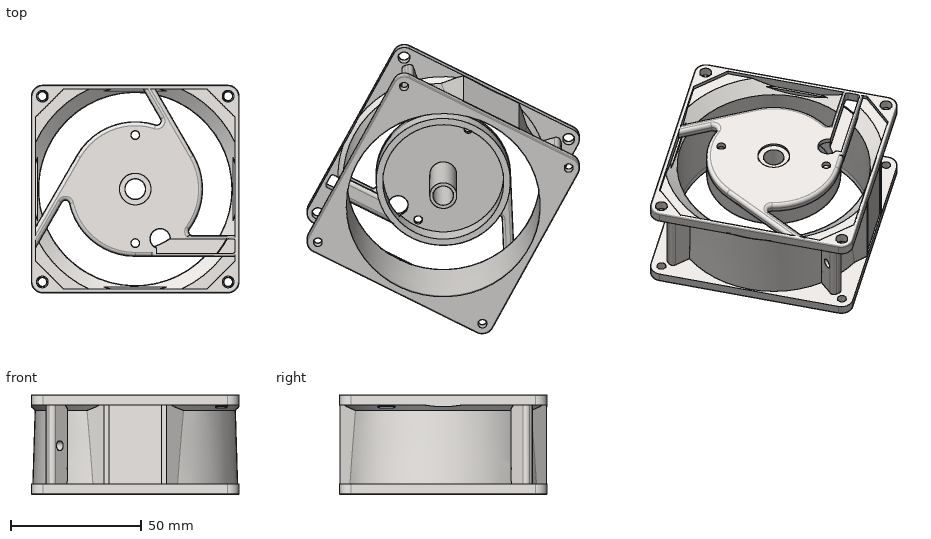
import cadquery as cq
import math

side = 79.9
height = 38.3
flange_thickness = 4.0
corner_radius = 4.5
rim_round = 0.3

half_side = side / 2
upper_flange_bottom = height - flange_thickness

recess_half = 38.45
recess_corner = 27.6
recess_depth = 1.5
recess_floor = height - recess_depth

bore_top_radius = 37.2
bore_bottom_radius = 37.6
lip_radius = 37.25
lip_height = 1.9
flare_radius = 42.35
flare_flat_half = 37.65
flare_start = 32.2
duct_top_radius = 38.5
duct_bottom_radius = 39.4
outer_flare_start = 32.3
outer_flare_radius = duct_top_radius + upper_flange_bottom - outer_flare_start

pad_half_width = 12.1
pad_inset = 0.15
pad_depth = 6.4
pad_spread = 6.9
label_half_width = 10.1
label_depth = 0.4

hole_offset = 35.7
upper_hole_diameter = 4.5
lower_hole_diameter = 3.35
rib_width = 4.6
rib_inner = 39.2
rib_outer = 47.4
rib_round = 1.75
ground_hole_diameter = 3.7
ground_hole_distance = 43.3
ground_hole_height = 18.7
rib_angles = (45, 135, 225)
ground_rib_angle = 225

hub_radius = 25.9
cup_radius = 25.8
hub_depth = 10.6
hub_floor = 2.0
cavity_radius = 23.25
tube_radius = 5.2
tube_bottom = 11.35
shaft_radius = 3.9
counterbore_radius = 6.1
counterbore_depth = 0.95
screw_offset = 20.8
screw_diameter = 3.2

spoke_width = 4.0
spoke_depth = flange_thickness
spoke_length = 55.95
spoke_angles = (30, 150)
hub_edge_round = 1.5
hub_lower_round = 1.1
spoke_root_round = 1.6

trough_angle = 270
trough_width = 8.0
trough_wall = 1.2
trough_floor_depth = 4.3
trough_depth = 5.0
trough_lower_round = 1.75
trough_edge_round = 0.5
trough_clip_radius = 39.95
trough_wall_start = 6.4
channel_end_round = 0.95
cable_hole_x = 9.6
cable_hole_radius = 3.8
channel_tip_x = 8.15

trough_outer = -hub_radius
trough_inner = trough_outer + trough_width


def block(x_min, x_max, y_min, y_max, z_min, z_max):
    """Box given by its limits."""
    return cq.Workplane("XY").box(
        x_max - x_min, y_max - y_min, z_max - z_min, centered=False
    ).translate((x_min, y_min, z_min))


def cylinder(radius, z_min, z_max, x=0, y=0):
    """Upright cylinder."""
    return cq.Workplane("XY", origin=(x, y, z_min)).circle(radius).extrude(z_max - z_min)


def octagon(z_min, z_max):
    """Upright prism with the outline of the recess."""
    a = recess_half
    b = recess_corner
    outline = [(a, -b), (a, b), (b, a), (-b, a), (-a, b), (-a, -b), (-b, -a), (b, -a)]
    return cq.Workplane("XY", origin=(0, 0, z_min)).polyline(outline).close().extrude(z_max - z_min)


def turned(profile):
    """Solid of revolution about Z from (radius, z) points, closed along the axis."""
    points = [(0, profile[0][1])] + profile + [(0, profile[-1][1])]
    return cq.Workplane("XZ").polyline(points).close().revolve(360, (0, 0, 0), (0, 1, 0))


def flange(z_min, rim):
    """Square plate with round corners; rim selects the face whose edge is rounded."""
    plate = block(-half_side, half_side, -half_side, half_side, z_min, z_min + flange_thickness)
    return plate.edges("|Z").fillet(corner_radius).faces(rim).edges().fillet(rim_round)


def wall_pad():
    """Front wall pad with slanted sides."""
    face = -half_side + pad_inset
    root = face + pad_depth
    root_half_width = pad_half_width + pad_spread
    outline = [
        (-pad_half_width, face),
        (pad_half_width, face),
        (root_half_width, root),
        (-root_half_width, root),
    ]
    return (
        cq.Workplane("XY", origin=(0, 0, flange_thickness))
        .polyline(outline)
        .close()
        .extrude(upper_flange_bottom - flange_thickness)
    )


def corner_rib(angle):
    """Diagonal rib from the duct towards a corner, with its outer end rounded."""
    rib = block(rib_inner, rib_outer, -rib_width / 2, rib_width / 2, flange_thickness, upper_flange_bottom)
    return rib.edges("|Z and >X").fillet(rib_round).rotate((0, 0, 0), (0, 0, 1), angle)


def housing():
    """Flanges, duct wall, pads and ribs with the bore, recess and holes cut out."""
    body = turned([
        (duct_bottom_radius, flange_thickness),
        (duct_top_radius, outer_flare_start),
        (outer_flare_radius, upper_flange_bottom),
    ])
    body = body.intersect(block(-half_side, half_side, -half_side, half_side, 0, height))
    body = body.union(flange(0, "<Z")).union(flange(upper_flange_bottom, ">Z"))
    pad = wall_pad()
    body = body.union(pad).union(pad.mirror("XZ"))
    for angle in rib_angles:
        body = body.union(corner_rib(angle))
    body = body.cut(block(
        -label_half_width, label_half_width,
        -half_side, -half_side + pad_inset + label_depth,
        flange_thickness, upper_flange_bottom,
    ))

    bore = turned([
        (lip_radius, 0),
        (bore_bottom_radius, lip_height),
        (bore_top_radius, flare_start),
        (flare_radius, recess_floor),
    ])
    flat = flare_flat_half
    limits = octagon(upper_flange_bottom, height).union(block(-flat, flat, -flat, flat, 0, upper_flange_bottom))
    body = body.cut(bore.intersect(limits)).cut(octagon(recess_floor, height))

    for x in (-hole_offset, hole_offset):
        for y in (-hole_offset, hole_offset):
            body = body.cut(cylinder(upper_hole_diameter / 2, upper_flange_bottom, height, x, y))
            body = body.cut(cylinder(lower_hole_diameter / 2, 0, flange_thickness, x, y))
    ground_hole = (
        cq.Workplane("XZ", origin=(ground_hole_distance, rib_width, ground_hole_height))
        .circle(ground_hole_diameter / 2)
        .extrude(2 * rib_width)
    )
    return body.cut(ground_hole.rotate((0, 0, 0), (0, 0, 1), ground_rib_angle))


def arm(angle, width):
    """Straight arm whose outer edge is tangent to the hub at the given angle."""
    bar = block(hub_radius - width, hub_radius, 0, spoke_length, height - spoke_depth, height)
    return bar.rotate((0, 0, 0), (0, 0, 1), angle)


def root_corner(angle, width):
    """Point where the inner edge of an arm meets the hub circle."""
    turn = math.radians(angle) + math.acos((hub_radius - width) / hub_radius)
    return hub_radius * math.cos(turn), hub_radius * math.sin(turn)


def hub_plate():
    """Round plate with its three arms, rounded in the arm roots and along both edges."""
    arms = [(angle, spoke_width) for angle in spoke_angles] + [(trough_angle, trough_width)]
    plate = cylinder(hub_radius, height - spoke_depth, height)
    for angle, width in arms:
        plate = plate.union(arm(angle, width))
    for angle, width in arms:
        x, y = root_corner(angle, width)
        nearest = cq.selectors.NearestToPointSelector((x, y, height - spoke_depth / 2))
        plate = plate.edges("|Z").edges(nearest).fillet(spoke_root_round)
    plate = plate.faces(">Z").edges().fillet(hub_edge_round)
    plate = plate.faces("<Z").edges().fillet(hub_lower_round)
    return plate.intersect(octagon(0, height))


def trough():
    """Body of the cable trough; its floor ends at the duct wall."""
    low = block(0, recess_half, trough_outer, trough_inner, height - trough_depth, height - hub_edge_round)
    low = low.edges("|X and <Z").fillet(trough_lower_round)
    low = low.intersect(cylinder(trough_clip_radius, 0, height))
    high = block(trough_wall_start, recess_half, trough_outer, trough_inner, upper_flange_bottom, height)
    high = high.edges("|X and >Z").fillet(trough_edge_round)
    hub_gap = cylinder(cavity_radius, 0, height)
    return low.union(high).cut(hub_gap)


def cable_channel():
    """Space inside the trough, widened to a round cable hole in the hub floor."""
    inner = trough_inner - trough_wall
    outer = trough_outer + trough_wall
    bottom = height - trough_floor_depth
    channel = block(channel_tip_x, recess_half, outer, inner, bottom, height)
    channel = channel.edges("|Z and >X").fillet(channel_end_round)
    return channel.union(cylinder(cable_hole_radius, bottom, height, cable_hole_x, inner))


def hub():
    """Hub cup with arms, trough, bearing tube and holes."""
    cup = cylinder(cup_radius, height - hub_depth, height - hub_edge_round)
    body = hub_plate().union(cup).union(trough())
    body = body.cut(cylinder(cavity_radius, 0, height - hub_floor))
    body = body.union(cylinder(tube_radius, tube_bottom, height - hub_floor))
    body = body.cut(cylinder(shaft_radius, 0, height))
    body = body.cut(cylinder(counterbore_radius, height - counterbore_depth, height))
    for y in (-screw_offset, screw_offset):
        body = body.cut(cylinder(screw_diameter / 2, 0, height, 0, y))
    return body


result = housing().union(hub()).cut(cable_channel())